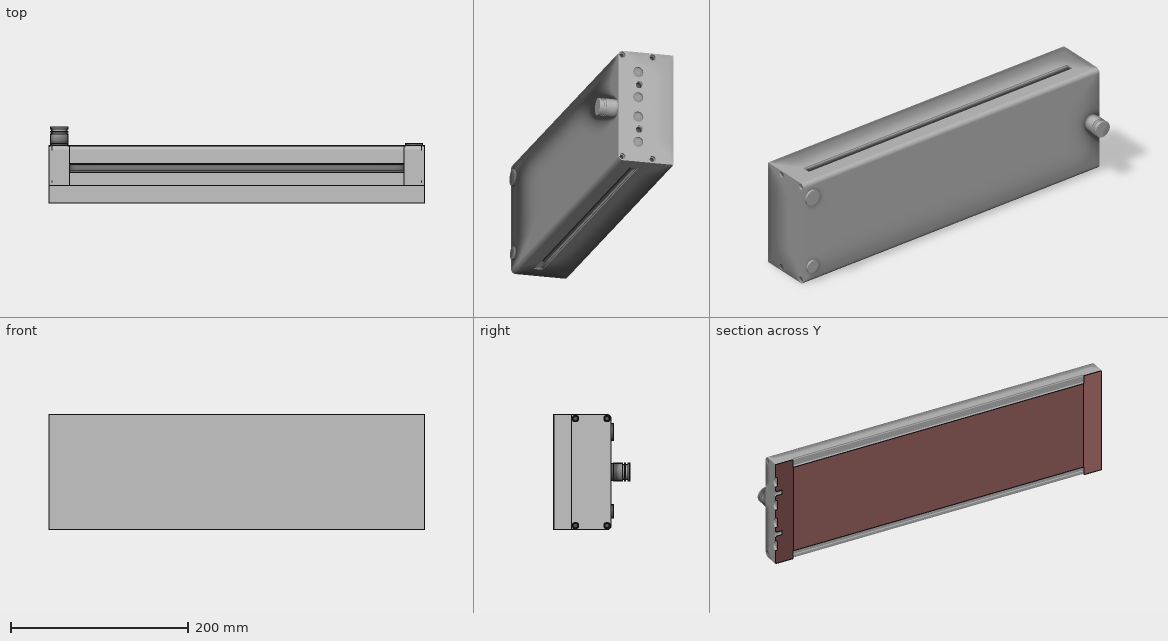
import cadquery as cq

LENGTH = 424.0
HEIGHT = 130.0
BODY_DEPTH = 65.0
PLATE_DEPTH = 20.0
CAP_LENGTH = 23.5
BACK_EDGE_RADIUS = 5.0

MID_Z = HEIGHT / 2
HOUSING_DEPTH = BODY_DEPTH - PLATE_DEPTH

SLOT_FROM_BACK = 25.0
SLOT_MOUTH_WIDTH = 10.0
SLOT_MOUTH_DEPTH = 1.3
SLOT_NECK_WIDTH = 7.5
SLOT_LIP_DEPTH = 4.2
SLOT_WIDTH = 12.0
SLOT_DEPTH = 10.0

SCREW_INSET_Y = 4.5
SCREW_INSET_Z = 4.5
SCREW_HEAD_DIAMETER = 7.0
SCREW_HEAD_DEPTH = 3.5
SCREW_HOLE_DIAMETER = 5.0
SCREW_HOLE_DEPTH = 8.5

PORT_FROM_BACK = 23.5
PORT_DIAMETER = 12.0
PORT_DEPTH = 2.5
PORT_OFFSETS_Z = (11.5, 41.5)
SMALL_HOLE_FROM_BACK = 24.5
SMALL_HOLE_OFFSET_Z = sum(PORT_OFFSETS_Z) / 2
SMALL_HOLE_MOUTH_DIAMETER = 9.0
SMALL_HOLE_MOUTH_DEPTH = 1.3
SMALL_HOLE_DIAMETER = 7.0
SMALL_HOLE_DEPTH = 8.5

CONNECTOR_LENGTH = 21.0
CONNECTOR_DIAMETER = 20.0
CONNECTOR_GROOVE_DIAMETER = 17.5
CONNECTOR_NECK_DIAMETER = 19.5
NECK_LENGTH = 2.5
BARREL_LENGTH = 10.5
RING_GAP = 2.0
RING_LENGTH = 1.0
FLANGE_LENGTH = 2.0

UPPER_PAD_DIAMETER = 19.0
UPPER_PAD_OFFSET_Z = 45.5
LOWER_PAD_DIAMETER = 15.3
LOWER_PAD_OFFSET_Z = 44.5
PAD_HEIGHT = 2.5


def box(length, depth, height):
    """Box with its lowest corner at the origin."""
    return cq.Workplane("XY").box(length, depth, height, centered=False)


def housing_block(x_start, length):
    """Block behind the front plate with its two long back edges rounded."""
    block = box(length, HOUSING_DEPTH, HEIGHT).edges(">Y and |X").fillet(BACK_EDGE_RADIUS)
    return block.translate((x_start, PLATE_DEPTH, 0))


def cylinder_along_x(diameter, length, x_start, y, z):
    return cq.Workplane(cq.Solid.makeCylinder(
        diameter / 2, length, cq.Vector(x_start, y, z), cq.Vector(1, 0, 0)))


def cylinder_along_y(diameter, length, x, y_start, z):
    return cq.Workplane(cq.Solid.makeCylinder(
        diameter / 2, length, cq.Vector(x, y_start, z), cq.Vector(0, 1, 0)))


def make_front_plate():
    return box(LENGTH, PLATE_DEPTH, HEIGHT)


def make_profile():
    """Middle profile between the end caps, with a T-slot in its top and bottom."""
    profile_length = LENGTH - 2 * CAP_LENGTH
    profile = housing_block(CAP_LENGTH, profile_length)
    slot_y = BODY_DEPTH - SLOT_FROM_BACK
    sections = (
        (SLOT_MOUTH_WIDTH, 0, SLOT_MOUTH_DEPTH),
        (SLOT_NECK_WIDTH, 0, SLOT_LIP_DEPTH),
        (SLOT_WIDTH, SLOT_LIP_DEPTH, SLOT_DEPTH),
    )
    for width, start_depth, end_depth in sections:
        cut = box(profile_length, width, end_depth - start_depth)
        for z_start in (start_depth, HEIGHT - end_depth):
            profile = profile.cut(cut.translate((CAP_LENGTH, slot_y - width / 2, z_start)))
    return profile


def cut_screw_holes(cap):
    """Counterbored holes in the four corners of the outer (-X) face."""
    for y in (PLATE_DEPTH + SCREW_INSET_Y, BODY_DEPTH - SCREW_INSET_Y):
        for z in (SCREW_INSET_Z, HEIGHT - SCREW_INSET_Z):
            cap = cap.cut(cylinder_along_x(SCREW_HEAD_DIAMETER, SCREW_HEAD_DEPTH, 0, y, z))
            cap = cap.cut(cylinder_along_x(SCREW_HOLE_DIAMETER, SCREW_HOLE_DEPTH, 0, y, z))
    return cap


def make_blank_cap():
    """End cap at the -X end with only its corner screw holes."""
    return cut_screw_holes(housing_block(0, CAP_LENGTH))


def cut_ports(cap):
    """Shallow round recesses and small stepped holes in the outer face."""
    port_y = BODY_DEPTH - PORT_FROM_BACK
    small_y = BODY_DEPTH - SMALL_HOLE_FROM_BACK
    for side in (-1, 1):
        for offset in PORT_OFFSETS_Z:
            port_z = MID_Z + side * offset
            cap = cap.cut(cylinder_along_x(PORT_DIAMETER, PORT_DEPTH, 0, port_y, port_z))
        small_z = MID_Z + side * SMALL_HOLE_OFFSET_Z
        cap = cap.cut(cylinder_along_x(
            SMALL_HOLE_MOUTH_DIAMETER, SMALL_HOLE_MOUTH_DEPTH, 0, small_y, small_z))
        cap = cap.cut(cylinder_along_x(SMALL_HOLE_DIAMETER, SMALL_HOLE_DEPTH, 0, small_y, small_z))
    return cap


def add_connector(cap):
    """Round connector made of coaxial sections stacked outwards from the back face."""
    groove_length = (CONNECTOR_LENGTH - NECK_LENGTH - BARREL_LENGTH
                     - RING_GAP - RING_LENGTH - FLANGE_LENGTH)
    sections = (
        (CONNECTOR_NECK_DIAMETER, NECK_LENGTH),
        (CONNECTOR_DIAMETER, BARREL_LENGTH),
        (CONNECTOR_GROOVE_DIAMETER, RING_GAP),
        (CONNECTOR_DIAMETER, RING_LENGTH),
        (CONNECTOR_GROOVE_DIAMETER, groove_length),
        (CONNECTOR_DIAMETER, FLANGE_LENGTH),
    )
    y_start = BODY_DEPTH
    for diameter, length in sections:
        cap = cap.union(cylinder_along_y(diameter, length, CAP_LENGTH / 2, y_start, MID_Z))
        y_start += length
    return cap


def make_connector_cap():
    return add_connector(cut_ports(make_blank_cap()))


def make_pad_cap():
    """End cap at the +X end, with two round pads on its back."""
    cap = make_blank_cap().mirror("YZ").translate((LENGTH, 0, 0))
    pad_x = LENGTH - CAP_LENGTH / 2
    pads = (
        (UPPER_PAD_DIAMETER, MID_Z + UPPER_PAD_OFFSET_Z),
        (LOWER_PAD_DIAMETER, MID_Z - LOWER_PAD_OFFSET_Z),
    )
    for diameter, pad_z in pads:
        cap = cap.union(cylinder_along_y(diameter, PAD_HEIGHT, pad_x, BODY_DEPTH, pad_z))
    return cap


front_plate = make_front_plate()
profile = make_profile()
connector_cap = make_connector_cap()
pad_cap = make_pad_cap()

result = cq.Compound.makeCompound([
    front_plate.val(),
    profile.val(),
    connector_cap.val(),
    pad_cap.val(),
])